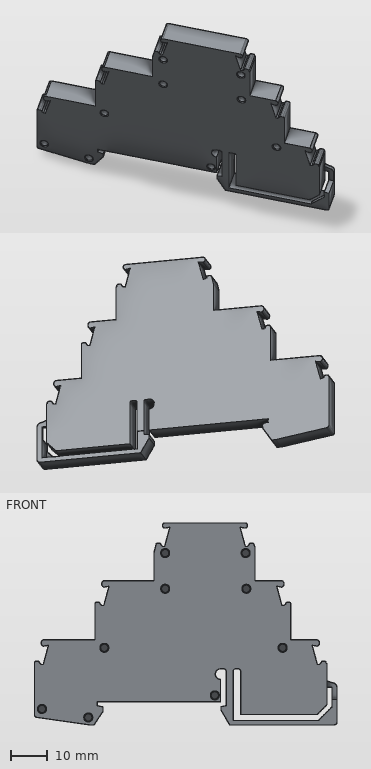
import cadquery as cq
import math

LENGTH = 82.3
THICKNESS = 6.0

BASE_Z = 6.25
LOWER_TOP = 23.2
MIDDLE_TOP = 39.25
UPPER_TOP = 55.0
BODY_RIGHT = 79.6
MIDDLE_LEFT, MIDDLE_RIGHT = 16.5, 69.7
UPPER_LEFT, UPPER_RIGHT = 32.5, 60.0

LIP_INSET = 1.8
LIP_THICKNESS = 1.8
THIN_LIP_THICKNESS = 1.5
LIP_END_WIDTH = 0.65
LIP_UNDERCUT = 0.25
NOTCH_ROOT_INSET = 3.8
NOTCH_HEIGHT = 4.9
NOTCH_FOOT_INSET = 2.4
NOTCH_FOOT_WIDTH = 0.5
NUB_WIDTH = 1.4
NUB_RADIUS = 0.5
NUB_HEIGHT = 0.9
CUT_MARGIN = 0.8

FOOT_CORNER_Z = 2.1
FOOT_CORNER_RADIUS = 0.7
FOOT_FLAT_START, FOOT_FLAT_END = 15.0, 16.2
FOOT_TIP_X = 18.7
FOOT_TIP_LOW, FOOT_TIP_HIGH = 3.7, 4.9
FOOT_NECK_X, FOOT_NECK_Z = 17.1, 5.3

CLIP_THICKNESS = 5.8
LEG_LEFT, LEG_RIGHT = 52.1, 54.1
CLIP_TIP_X = 50.7
CLIP_TIP_LOW, CLIP_TIP_HIGH = 4.0, 5.0
CLIP_BOTTOM_START = 53.1
RAIL_THICKNESS = 1.2
ARM_INNER = 80.9
ARM_TOP = 6.9
ARM_CORNER_RADIUS = 0.8
GUSSET_SIZE = 3.7
GUSSET_THICKNESS = 1.0
BRIDGE_FRONT = 4.8
BRIDGE_UNDERSIDE, BRIDGE_TOP = 10.2, 12.0
BRIDGE_BEND_Z = 11.5

SLOT_TOP = 15.2
SLOT_CORNER_RADIUS = 0.6
NARROW_SLOT_LEFT = 50.6
WIDE_SLOT_RIGHT = 56.05
RELIEF_RADIUS = 1.4
BLOCK_BOTTOM = 2.8
BLOCK_CHAMFER = 2.7

HOLE_DIAMETER = 2.0
COUNTERSINK_DIAMETER = 2.5
COUNTERSINK_ANGLE = 90
HOLE_DEPTH = 3.3
HOLE_CENTRES = [
    (35.55, 46.75), (57.45, 46.75),
    (35.55, 37.0), (57.6, 37.0),
    (19.0, 21.0), (67.5, 21.0),
    (2.05, 4.4), (14.65, 2.05), (49.05, 8.1),
]


def extrude_back(sketch, thickness=THICKNESS):
    """Extrude a closed XZ outline from its workplane toward +Y."""
    return sketch.extrude(-thickness)


def rectangle(left, right, bottom, top):
    corners = [(left, bottom), (right, bottom), (right, top), (left, top)]
    outline = cq.Workplane("XZ").polyline(corners)
    return extrude_back(outline.close())


def stepped_body():
    outline = cq.Workplane("XZ").polyline([
        (0, FOOT_CORNER_Z),
        (FOOT_FLAT_START, 0),
        (FOOT_FLAT_END, 0),
        (FOOT_TIP_X, FOOT_TIP_LOW),
        (FOOT_TIP_X, FOOT_TIP_HIGH),
        (FOOT_NECK_X, FOOT_NECK_Z),
        (FOOT_NECK_X, BASE_Z),
        (WIDE_SLOT_RIGHT, BASE_Z),
        (WIDE_SLOT_RIGHT, BLOCK_BOTTOM),
        (BODY_RIGHT - BLOCK_CHAMFER, BLOCK_BOTTOM),
        (BODY_RIGHT, BLOCK_BOTTOM + BLOCK_CHAMFER),
        (BODY_RIGHT, LOWER_TOP),
        (MIDDLE_RIGHT, LOWER_TOP),
        (MIDDLE_RIGHT, MIDDLE_TOP),
        (UPPER_RIGHT, MIDDLE_TOP),
        (UPPER_RIGHT, UPPER_TOP),
        (UPPER_LEFT, UPPER_TOP),
        (UPPER_LEFT, MIDDLE_TOP),
        (MIDDLE_LEFT, MIDDLE_TOP),
        (MIDDLE_LEFT, LOWER_TOP),
        (0, LOWER_TOP),
    ])
    body = extrude_back(outline.close())
    foot_corner = cq.selectors.NearestToPointSelector((0, THICKNESS / 2, FOOT_CORNER_Z))
    return body.edges(foot_corner).fillet(FOOT_CORNER_RADIUS)


def carrier_notch(corner_x, corner_z, inward, lip_thickness, shift, shoulder_drop):
    """Cutter that leaves a round lip above a slanted notch and a round nub below it.

    inward is +1 at a left-hand corner and -1 at a right-hand one. shift moves the notch inward,
    and shoulder_drop is the height of the slope joining the shifted nub to the wall.
    """
    def at(inset, drop):
        return (corner_x + inward * inset, corner_z - drop)

    lip_end = LIP_INSET + shift
    lip_start = lip_end + LIP_END_WIDTH
    foot_drop = lip_thickness + NOTCH_HEIGHT
    nub_top = foot_drop - NUB_HEIGHT
    nub_side = nub_top + NUB_RADIUS
    nub_inner = shift + NUB_WIDTH
    arc_inset = NUB_RADIUS * (1 - math.sqrt(0.5))
    foot_inset = NOTCH_FOOT_INSET + shift
    outline = (
        cq.Workplane("XZ")
        .moveTo(*at(-CUT_MARGIN, -CUT_MARGIN))
        .lineTo(*at(lip_start, -CUT_MARGIN))
        .lineTo(*at(lip_start, 0))
        .threePointArc(at(lip_end, lip_thickness / 2), at(lip_start, lip_thickness))
        .lineTo(*at(NOTCH_ROOT_INSET + shift, lip_thickness - LIP_UNDERCUT))
        .lineTo(*at(foot_inset, foot_drop))
        .lineTo(*at(foot_inset - NOTCH_FOOT_WIDTH, foot_drop))
        .lineTo(*at(nub_inner, nub_side))
        .threePointArc(at(nub_inner - arc_inset, nub_top + arc_inset), at(nub_inner - NUB_RADIUS, nub_top))
        .lineTo(*at(shift + NUB_RADIUS, nub_top))
        .threePointArc(at(shift + arc_inset, nub_top + arc_inset), at(shift, nub_side))
    )
    if shoulder_drop > 0:
        outline = outline.lineTo(*at(0, nub_side + shoulder_drop))
    outline = outline.lineTo(*at(-CUT_MARGIN, nub_side + shoulder_drop))
    return extrude_back(outline.close())


def leg_slots():
    """Slots that free the clip leg, with a round relief at the head of the narrow one."""
    narrow = rectangle(NARROW_SLOT_LEFT, LEG_LEFT, BASE_Z, SLOT_TOP)
    narrow = narrow.edges("|Y and >Z and >X").fillet(SLOT_CORNER_RADIUS)
    relief = cq.Workplane("XZ").center(NARROW_SLOT_LEFT, SLOT_TOP - RELIEF_RADIUS).circle(RELIEF_RADIUS)
    wide = rectangle(LEG_RIGHT, WIDE_SLOT_RIGHT, BASE_Z, SLOT_TOP)
    wide = wide.edges("|Y and >Z").fillet(SLOT_CORNER_RADIUS)
    return narrow.union(extrude_back(relief)).union(wide)


def clip():
    """Hooked leg, bottom rail and outer arm, tied back to the body by a thin bridge."""
    frame_outline = cq.Workplane("XZ").polyline([
        (LEG_LEFT, BASE_Z),
        (LEG_LEFT, FOOT_NECK_Z),
        (CLIP_TIP_X, CLIP_TIP_HIGH),
        (CLIP_TIP_X, CLIP_TIP_LOW),
        (CLIP_BOTTOM_START, 0),
        (LENGTH, 0),
        (LENGTH, ARM_TOP),
        (ARM_INNER, ARM_TOP),
        (ARM_INNER, RAIL_THICKNESS),
        (LEG_RIGHT, RAIL_THICKNESS),
        (LEG_RIGHT, BASE_Z),
    ])
    frame = extrude_back(frame_outline.close(), CLIP_THICKNESS)
    frame = frame.edges("|Y and >X and <Z").fillet(ARM_CORNER_RADIUS)

    gusset_outline = cq.Workplane("XZ").polyline([
        (ARM_INNER - GUSSET_SIZE, RAIL_THICKNESS),
        (ARM_INNER, RAIL_THICKNESS),
        (ARM_INNER, RAIL_THICKNESS + GUSSET_SIZE),
    ])
    gusset = extrude_back(gusset_outline.close(), GUSSET_THICKNESS)

    bend_radius = LENGTH - ARM_INNER
    bend_start_z = BRIDGE_BEND_Z - bend_radius
    bend_reach = bend_radius * math.sqrt(0.5)
    bend_middle = (ARM_INNER + bend_reach, bend_start_z + bend_reach)
    bridge_outline = (
        cq.Workplane("XZ", origin=(0, BRIDGE_FRONT, 0))
        .moveTo(BODY_RIGHT, BRIDGE_UNDERSIDE)
        .lineTo(ARM_INNER, BRIDGE_UNDERSIDE)
        .lineTo(ARM_INNER, ARM_TOP)
        .lineTo(LENGTH, ARM_TOP)
        .lineTo(LENGTH, bend_start_z)
        .threePointArc(bend_middle, (ARM_INNER, BRIDGE_BEND_Z))
        .lineTo(BODY_RIGHT, BRIDGE_TOP)
    )
    bridge = extrude_back(bridge_outline.close(), CLIP_THICKNESS - BRIDGE_FRONT)
    return frame.union(gusset).union(bridge)


CARRIER_NOTCHES = [
    (0, LOWER_TOP, 1, LIP_THICKNESS, 0, 0),
    (BODY_RIGHT, LOWER_TOP, -1, LIP_THICKNESS, 0.25, 0.3),
    (MIDDLE_LEFT, MIDDLE_TOP, 1, LIP_THICKNESS, 0, 0),
    (MIDDLE_RIGHT, MIDDLE_TOP, -1, LIP_THICKNESS, 0, 0),
    (UPPER_LEFT, UPPER_TOP, 1, THIN_LIP_THICKNESS, 0.5, 2.05),
    (UPPER_RIGHT, UPPER_TOP, -1, THIN_LIP_THICKNESS, 0.25, 0.5),
]

result = stepped_body()
for notch in CARRIER_NOTCHES:
    result = result.cut(carrier_notch(*notch))
result = result.cut(leg_slots()).union(clip())

result = (
    result.copyWorkplane(cq.Workplane("XZ"))
    .pushPoints(HOLE_CENTRES)
    .cskHole(HOLE_DIAMETER, COUNTERSINK_DIAMETER, COUNTERSINK_ANGLE, depth=HOLE_DEPTH)
)